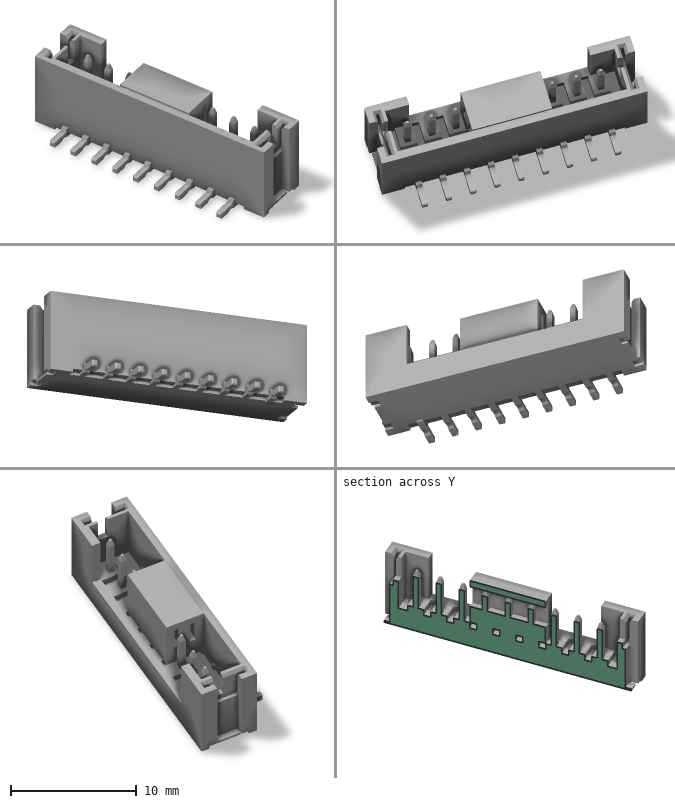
import cadquery as cq

LENGTH = 22.0
DEPTH = 5.0
HEIGHT = 6.56
CAVITY_LENGTH = 19.0
CAVITY_FRONT = 0.66
CAVITY_BACK = 4.25
FLOOR_Z = 1.86
BACK_OPENING_LENGTH = 15.0

PIN_COUNT = 9
PIN_PITCH = 2.0
PIN_WIDTH = 0.5
PIN_Y = 3.08
PIN_TOP = 5.98
PIN_TIP_LENGTH = 0.53
PIN_TIP_WIDTH = 0.2
LAST_PIN_DROP = 0.11
PIN_X = [(i - (PIN_COUNT - 1) / 2) * PIN_PITCH for i in range(PIN_COUNT)]
GAP_X = [(left + right) / 2 for left, right in zip(PIN_X, PIN_X[1:])]

TAIL_REACH = 2.01
TAIL_TIP_LENGTH = 0.1
TAIL_TIP_WIDTH = 0.3
TAIL_TOP = 0.54
TAIL_ROOT_TOP = 0.8
TAIL_ROOT_REACH = 0.28
TAIL_SLOPE_END = 0.44
TAIL_INNER_END = 0.93
TAIL_INNER_CHAMFER = 0.1
ARCH_HEIGHT = 0.15
ARCH_START = 0.23
ARCH_END = 0.97
ARCH_RAMP = 0.22

SEAT_TOP = 2.4
SEAT_WIDTH = 1.4
SEAT_FRONT = 2.18
SEAT_TOP_FRONT = 2.54
RIB_WIDTH = 0.3
RIB_DEPTH = 0.15

SLOT_OUTER = 0.74
SLOT_INNER = 1.03
SLOT_FRONT = 0.64
SLOT_BACK = 4.29
SLOT_FLOOR = 4.06
SLOT_FLARE = 0.2
SLOT_FLARE_HEIGHT = 0.28
RECESS_FRONT = 1.39
RECESS_BACK = 3.59
NOTCH_FRONT = 2.52
NOTCH_BACK = 3.39
NOTCH_FLOOR = 4.58
TAB_INSET = 0.22
TAB_TOP = 0.21

RELIEF_HEIGHT = 0.27
RELIEF_LENGTH = 18.2
RELIEF_FRONT = 0.72
RELIEF_BACK = 4.27

CAP_LENGTH = 6.6
CAP_RISE = 0.11
CAP_TOP = HEIGHT + CAP_RISE
CAP_FRONT = 0.71
CAP_BACK = 4.05
CAP_PLATE = 0.65
CAP_SLOT_WIDTH = 0.5
CAP_SLOT_Y = [1.64, PIN_Y]
CAP_SLOT_BOTTOM = 4.06


def block(x_range, y_range, z_range):
    """Axis-aligned box between the given limits."""
    (x0, x1), (y0, y1), (z0, z1) = x_range, y_range, z_range
    return cq.Workplane("XY").box(x1 - x0, y1 - y0, z1 - z0, centered=False).translate((x0, y0, z0))


def centred(middle, width):
    """Limits of a span of the given width about its middle."""
    return (middle - width / 2, middle + width / 2)


def extrude_along_x(points, x, width):
    """Prism with a Y-Z outline, centred on the given X."""
    return cq.Workplane("YZ", origin=(x - width / 2, 0, 0)).polyline(points).close().extrude(width)


def seat(x):
    """Raised seat of one pin, with a sloping front."""
    outline = [
        (SEAT_FRONT, FLOOR_Z),
        (SEAT_TOP_FRONT, SEAT_TOP),
        (CAVITY_BACK, SEAT_TOP),
        (CAVITY_BACK, FLOOR_Z),
    ]
    return extrude_along_x(outline, x, SEAT_WIDTH)


def front_rib(x):
    """Thin rib at the foot of the front wall's inner face."""
    return block(centred(x, RIB_WIDTH), (CAVITY_FRONT, CAVITY_FRONT + RIB_DEPTH), (FLOOR_Z, SEAT_TOP))


def shell():
    """Box with its cavity and the lowered middle of the back wall."""
    body = block(centred(0, LENGTH), (0, DEPTH), (0, HEIGHT))
    body = body.cut(block(centred(0, CAVITY_LENGTH), (CAVITY_FRONT, CAVITY_BACK), (FLOOR_Z, HEIGHT)))
    body = body.cut(block(centred(0, BACK_OPENING_LENGTH), (CAVITY_BACK, DEPTH), (SEAT_TOP, HEIGHT)))
    return body.cut(block(centred(0, RELIEF_LENGTH), (0, RELIEF_FRONT), (0, RELIEF_HEIGHT)))


def latch_slot(end_x):
    """Narrow slot behind the left end wall, flared at its mouth."""
    x_range = (end_x + SLOT_OUTER, end_x + SLOT_INNER)
    slot = block(x_range, (SLOT_FRONT, SLOT_BACK), (SLOT_FLOOR, HEIGHT))
    width = SLOT_INNER - SLOT_OUTER
    depth = SLOT_BACK - SLOT_FRONT
    centre = (sum(x_range) / 2, (SLOT_FRONT + SLOT_BACK) / 2, HEIGHT - SLOT_FLARE_HEIGHT)
    flare = (
        cq.Workplane("XY", origin=centre)
        .rect(width, depth)
        .workplane(offset=SLOT_FLARE_HEIGHT)
        .rect(width + 2 * SLOT_FLARE, depth + 2 * SLOT_FLARE)
        .loft(ruled=True)
    )
    return slot.union(flare)


def end_cuts():
    """Everything removed from the left end of the housing."""
    end_x = -LENGTH / 2
    recess = block((end_x, end_x + SLOT_OUTER), (RECESS_FRONT, RECESS_BACK), (0, HEIGHT))
    notch = block((end_x + SLOT_OUTER, -CAVITY_LENGTH / 2), (NOTCH_FRONT, NOTCH_BACK), (NOTCH_FLOOR, HEIGHT))
    end_relief = block((end_x, end_x + SLOT_OUTER), (RELIEF_FRONT, RELIEF_BACK), (0, RELIEF_HEIGHT))
    return latch_slot(end_x).union(recess).union(notch).union(end_relief)


def solder_tab():
    """Tab at the foot of the left end recess, set in from the end face."""
    end_x = -LENGTH / 2
    return block((end_x + TAB_INSET, end_x + SLOT_OUTER), (RECESS_FRONT, RECESS_BACK), (0, TAB_TOP))


def housing():
    """Complete moulded body with its solder tabs."""
    cuts = end_cuts()
    tab = solder_tab()
    body = shell().cut(cuts).cut(cuts.mirror("YZ"))
    body = body.union(tab).union(tab.mirror("YZ"))
    for x in PIN_X:
        body = body.union(seat(x))
    for x in GAP_X:
        body = body.union(front_rib(x))
    return body


def pin_post(x):
    """Upright contact with a tapered tip."""
    tip_base = PIN_TOP - PIN_TIP_LENGTH
    post = block(centred(x, PIN_WIDTH), centred(PIN_Y, PIN_WIDTH), (FLOOR_Z, tip_base))
    tip = (
        cq.Workplane("XY", origin=(x, PIN_Y, tip_base))
        .rect(PIN_WIDTH, PIN_WIDTH)
        .workplane(offset=PIN_TIP_LENGTH)
        .rect(PIN_TIP_WIDTH, PIN_TIP_WIDTH)
        .loft(ruled=True)
    )
    return post.union(tip)


def pin_tail(x):
    """Surface-mount tail with a shallow arch underneath and a tapered end."""
    straight_end = -(TAIL_REACH - TAIL_TIP_LENGTH)
    outline = [
        (TAIL_INNER_END, TAIL_ROOT_TOP),
        (-TAIL_ROOT_REACH, TAIL_ROOT_TOP),
        (-TAIL_SLOPE_END, TAIL_TOP),
        (straight_end, TAIL_TOP),
        (straight_end, 0),
        (-ARCH_END, 0),
        (-ARCH_END + ARCH_RAMP, ARCH_HEIGHT),
        (-ARCH_START - ARCH_RAMP, ARCH_HEIGHT),
        (-ARCH_START, 0),
        (TAIL_INNER_END - TAIL_INNER_CHAMFER, 0),
        (TAIL_INNER_END, TAIL_INNER_CHAMFER),
    ]
    tail = extrude_along_x(outline, x, PIN_WIDTH)
    inset = (PIN_WIDTH - TAIL_TIP_WIDTH) / 2
    tip = (
        cq.Workplane("XZ", origin=(x, straight_end, TAIL_TOP / 2))
        .rect(PIN_WIDTH, TAIL_TOP)
        .workplane(offset=TAIL_TIP_LENGTH)
        .rect(TAIL_TIP_WIDTH, TAIL_TOP - 2 * inset)
        .loft(ruled=True)
    )
    return tail.union(tip)


def pick_up_cap():
    """Flat-topped cap over the middle pins, with two slots running through it along X."""
    x_range = centred(0, CAP_LENGTH)
    cap = block(x_range, (CAP_FRONT, CAP_BACK), (SEAT_TOP, CAP_TOP))
    for y in CAP_SLOT_Y:
        cap = cap.cut(block(x_range, centred(y, CAP_SLOT_WIDTH), (CAP_SLOT_BOTTOM, CAP_TOP - CAP_PLATE)))
    return cap


def pin(x):
    """Complete pin; the last one in the row sits slightly lower than the rest."""
    drop = LAST_PIN_DROP if x == PIN_X[-1] else 0
    return pin_post(x).union(pin_tail(x)).translate((0, 0, -drop))


header = housing().union(pick_up_cap())
for pin_x in PIN_X:
    header = header.union(pin(pin_x))
result = header.solids()